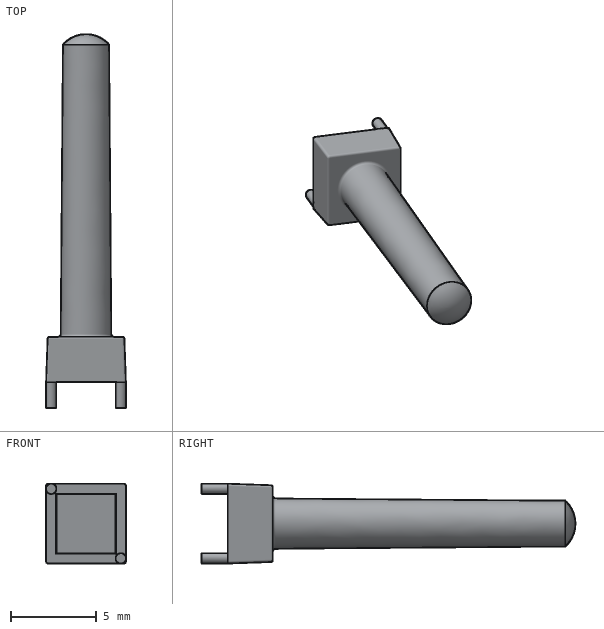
import cadquery as cq

total_length = 21.97
pin_length = 1.54
base_depth = 2.65

base_open_side = 4.7
base_draft = 2.0
base_corner_radius = 0.15
back_edge_radius = 0.13
cavity_open_side = 3.54
cavity_draft = 1.0
cavity_depth = 2.25

stem_foot_radius = 1.5
stem_tip_radius = 1.36
dome_height = 0.62
foot_fillet = 0.15

pin_diameter = 0.62
pin_tip_rounding = 0.07

open_face_y = -total_length / 2 + pin_length
back_face_y = open_face_y + base_depth
dome_tip_y = total_length / 2
dome_rim_y = dome_tip_y - dome_height
dome_sphere_radius = (stem_tip_radius**2 + dome_height**2) / (2 * dome_height)


def tapered_square(side, length, draft):
    """Square block growing in +Y from the open face, narrowing by the draft angle."""
    plane = cq.Plane(origin=(0, open_face_y, 0), xDir=(1, 0, 0), normal=(0, 1, 0))
    return cq.Workplane(plane).rect(side, side).extrude(length, taper=draft)


def make_base():
    """Tapered block with rounded side corners and a rounded back edge."""
    block = tapered_square(base_open_side, base_depth, base_draft)
    block = block.edges("not(<Y or >Y)").fillet(base_corner_radius)
    return block.faces(">Y").edges().fillet(back_edge_radius)


def make_cavity():
    """Slightly drafted square pocket entering from the open face."""
    return tapered_square(cavity_open_side, cavity_depth, cavity_draft)


def make_stem():
    """Stem profile in the XY plane, revolved about Y."""
    dome_middle_x = stem_tip_radius / 2
    dome_middle_y = dome_tip_y - dome_sphere_radius + (dome_sphere_radius**2 - dome_middle_x**2) ** 0.5
    return (
        cq.Workplane("XY")
        .moveTo(0, back_face_y)
        .lineTo(stem_foot_radius, back_face_y)
        .lineTo(stem_tip_radius, dome_rim_y)
        .threePointArc((dome_middle_x, dome_middle_y), (0, dome_tip_y))
        .close()
        .revolve(360, (0, 0, 0), (0, 1, 0))
    )


def make_pins():
    """Two round pins standing on the open face, flush with its outer sides."""
    offset = (base_open_side - pin_diameter) / 2
    plane = cq.Plane(origin=(0, open_face_y, 0), xDir=(1, 0, 0), normal=(0, -1, 0))
    return (
        cq.Workplane(plane)
        .pushPoints([(-offset, offset), (offset, -offset)])
        .circle(pin_diameter / 2)
        .extrude(pin_length)
        .faces("<Y")
        .edges()
        .fillet(pin_tip_rounding)
    )


body = make_base().union(make_stem())
foot_edge = cq.selectors.BoxSelector(
    (-stem_foot_radius, back_face_y - foot_fillet, -stem_foot_radius),
    (stem_foot_radius, back_face_y + foot_fillet, stem_foot_radius),
)
body = body.edges(foot_edge).edges("%CIRCLE").fillet(foot_fillet)
result = body.cut(make_cavity()).union(make_pins())